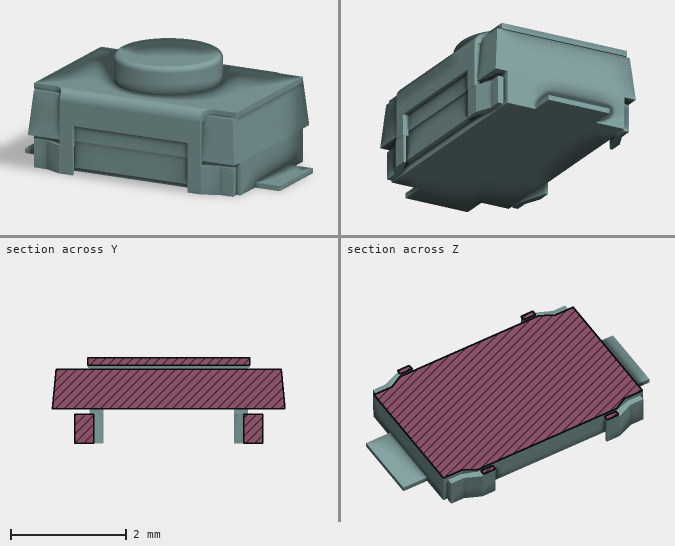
import cadquery as cq

total_height = 2.01

sheet = 0.105
cover_top = 1.51
cover_length = 3.96
cover_width = 2.9
bend_radius = 0.2
panel_length = 2.75
window_length = 2.26
window_top = 0.9
panel_bottom = 0.51
panel_outer_y = cover_width / 2
panel_inner_y = panel_outer_y - sheet

foot_outer_y = 1.44
foot_edge_thickness = 0.05
foot_jog = 0.13
foot_jog_start_x = 1.395
foot_jog_end_x = 1.695
foot_end_x = 1.95

housing_length = 4.05
parting_z = 0.6
upper_top = cover_top - sheet
upper_bottom_width = 2.805
upper_top_length = 3.895
upper_top_width = 2.65
base_width = 2.34
bulge_width = 2.61
bulge_bottom = 0.105
bulge_flat_x = 1.415
bulge_end_x = 1.65

terminal_thickness = 0.09
left_terminal_length = 0.47
left_terminal_width = 1.22
right_terminal_length = 0.48
right_terminal_width = 1.25

button_diameter = 1.9
button_fillet = 0.1


def block(x_min, x_max, y_min, y_max, z_min, z_max):
    size = (x_max - x_min, y_max - y_min, z_max - z_min)
    return cq.Workplane().box(*size, centered=False).translate((x_min, y_min, z_min))


def centered_block(length, width, z_min, z_max):
    return block(-length / 2, length / 2, -width / 2, width / 2, z_min, z_max)


def both_sides(shape):
    """Join a shape on the -Y side with its mirror image on the +Y side."""
    return shape.union(shape.mirror("XZ"))


def make_base():
    core = centered_block(housing_length, base_width, 0, parting_z)
    bulge = (
        cq.Workplane().workplane(offset=bulge_bottom)
        .moveTo(-bulge_end_x, -base_width / 2)
        .lineTo(-bulge_flat_x, -bulge_width / 2)
        .lineTo(bulge_flat_x, -bulge_width / 2)
        .lineTo(bulge_end_x, -base_width / 2)
        .lineTo(bulge_end_x, 0)
        .lineTo(-bulge_end_x, 0)
        .close()
        .extrude(parting_z - bulge_bottom)
    )
    return core.union(both_sides(bulge))


def make_upper_body():
    body = (
        cq.Workplane().workplane(offset=parting_z)
        .rect(housing_length, upper_bottom_width)
        .workplane(offset=upper_top - parting_z)
        .rect(upper_top_length, upper_top_width)
        .loft(ruled=True)
    )
    seat = block(
        -panel_length / 2, panel_length / 2, -panel_outer_y, -panel_inner_y, parting_z, upper_top
    )
    return body.cut(both_sides(seat))


def make_cover():
    bend_start_y = panel_outer_y - bend_radius
    outer = centered_block(cover_length, cover_width, panel_bottom, cover_top)
    outer = outer.edges("|X and >Z").fillet(bend_radius)
    inner = centered_block(cover_length, cover_width - 2 * sheet, panel_bottom, upper_top)
    inner = inner.edges("|X and >Z").fillet(bend_radius - sheet)
    cover = outer.cut(inner)

    notch_x = panel_length / 2
    for side in (-1, 1):
        notch = (
            cq.Workplane().workplane(offset=panel_bottom)
            .moveTo(side * notch_x, -panel_outer_y)
            .radiusArc((side * (notch_x + bend_radius), -bend_start_y), side * bend_radius)
            .lineTo(side * cover_length / 2, -bend_start_y)
            .lineTo(side * cover_length / 2, -panel_outer_y)
            .close()
            .extrude(cover_top - panel_bottom)
        )
        cover = cover.cut(both_sides(notch))

    panel_end = block(
        notch_x, cover_length / 2, -panel_outer_y, -bend_start_y, panel_bottom, cover_top - bend_radius
    )
    cover = cover.cut(both_sides(panel_end.union(panel_end.mirror("YZ"))))

    window = centered_block(window_length, cover_width, panel_bottom, window_top)
    return cover.cut(window)


def make_feet():
    start_x = window_length / 2
    jogged_outer_y = foot_outer_y - foot_jog
    jogged_inner_y = jogged_outer_y - sheet
    foot = (
        cq.Workplane()
        .moveTo(start_x, -foot_outer_y)
        .lineTo(foot_jog_start_x, -foot_outer_y)
        .lineTo(foot_jog_end_x, -jogged_outer_y)
        .lineTo(foot_end_x, -jogged_outer_y)
        .lineTo(foot_end_x, -jogged_inner_y)
        .lineTo(foot_jog_end_x, -jogged_inner_y)
        .lineTo(start_x, foot_edge_thickness - foot_outer_y)
        .close()
        .extrude(panel_bottom)
    )
    return both_sides(foot.union(foot.mirror("YZ")))


def make_terminals():
    end_x = housing_length / 2
    left = block(
        -end_x - left_terminal_length, -end_x,
        -left_terminal_width / 2, left_terminal_width / 2,
        0, terminal_thickness,
    )
    right = block(
        end_x, end_x + right_terminal_length,
        -right_terminal_width / 2, right_terminal_width / 2,
        0, terminal_thickness,
    )
    return left.union(right)


def make_button():
    button = cq.Workplane().workplane(offset=cover_top).circle(button_diameter / 2)
    button = button.extrude(total_height - cover_top)
    return button.faces(">Z").edges().fillet(button_fillet)


result = (
    make_base()
    .union(make_upper_body())
    .union(make_cover())
    .union(make_feet())
    .union(make_terminals())
    .union(make_button())
)